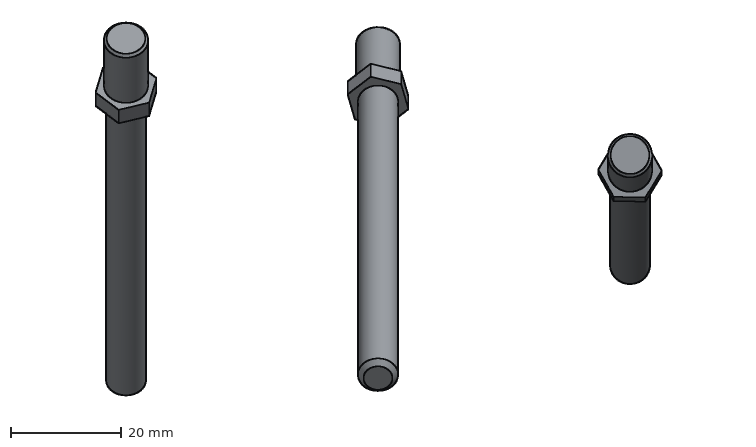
import cadquery as cq
import math

total_length = 103.0
stub_diameter = 8.0
stub_length = 14.0
stub_chamfer = 0.5
shank_diameter = 7.3
shank_chamfer = 1.0
hex_across_flats = 10.0
hex_height = 4.0

hex_across_corners = hex_across_flats / math.cos(math.radians(30))
hex_top = total_length - stub_length
shank_length = hex_top - hex_height


def make_shank():
    """Long lower rod with a chamfered lower end."""
    rod = cq.Workplane("XY").circle(shank_diameter / 2).extrude(shank_length)
    return rod.faces("<Z").chamfer(shank_chamfer)


def make_hex_collar():
    """Hexagonal collar with two corners on the X axis."""
    return (
        cq.Workplane("XY")
        .workplane(offset=shank_length)
        .polygon(6, hex_across_corners)
        .extrude(hex_height)
    )


def make_stub():
    """Short upper rod with a chamfered upper end."""
    rod = (
        cq.Workplane("XY")
        .workplane(offset=hex_top)
        .circle(stub_diameter / 2)
        .extrude(stub_length)
    )
    return rod.faces(">Z").chamfer(stub_chamfer)


result = make_shank().union(make_hex_collar()).union(make_stub())